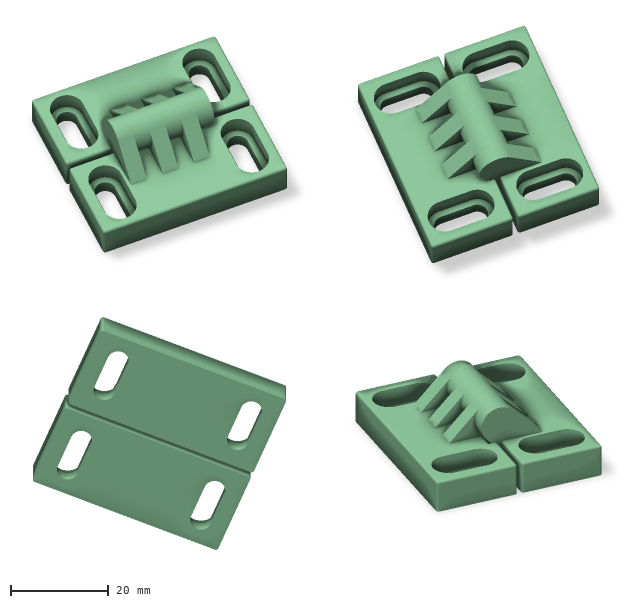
import cadquery as cq
import math

plate_length = 41.0
plate_width = 17.95
plate_thickness = 7.0
plate_gap = 1.05
edge_radius = 0.55

hinge_length = 21.0
knuckles_per_leaf = 3
knuckle_width = hinge_length / (2 * knuckles_per_leaf)
knuckle_radius = 4.0
axis_height = 11.0
arm_foot_x = 9.75
arm_root_height = 5.0
pin_diameter = 4.0

relief_rim_x = 2.62

slot_straight = 7.18
slot_width = 4.4
counterbore_width = 7.0
counterbore_depth = 4.0
slot_offset_x = 9.75
slot_spacing_y = 29.5

inner_face_x = plate_gap / 2


def cylinder_along_y(diameter, start_y, length):
    """Cylinder on the hinge axis, from start_y towards +Y."""
    return (
        cq.Workplane("XZ", origin=(0, start_y, axis_height))
        .circle(diameter / 2)
        .extrude(-length)
    )


def make_pin():
    """Hinge pin, flush with both ends of the barrel."""
    return cylinder_along_y(pin_diameter, -hinge_length / 2, hinge_length)


def make_plate():
    """Plate on the +X side, rounded on its upright and top edges."""
    return (
        cq.Workplane("XY", origin=(inner_face_x + plate_width / 2, 0, 0))
        .box(plate_width, plate_length, plate_thickness, centered=(True, True, False))
        .edges("|Z or >Z")
        .fillet(edge_radius)
    )


def make_slots():
    """Cutters for the two stepped slots, one near each end of the plate."""
    centers = [(slot_offset_x, side * slot_spacing_y / 2) for side in (-1, 1)]
    through_slots = (
        cq.Workplane("XY")
        .pushPoints(centers)
        .slot2D(slot_straight + slot_width, slot_width)
        .extrude(plate_thickness)
    )
    counterbores = (
        cq.Workplane("XY", origin=(0, 0, plate_thickness - counterbore_depth))
        .pushPoints(centers)
        .slot2D(slot_straight + counterbore_width, counterbore_width)
        .extrude(counterbore_depth)
    )
    return through_slots.union(counterbores)


def make_knuckle(start_y):
    """Round eye on an arm that runs down at about 45 degrees into the +X plate."""
    tangent_offset = knuckle_radius / math.sqrt(2)
    arm = (
        cq.Workplane("XZ", origin=(0, start_y, 0))
        .moveTo(tangent_offset, axis_height + tangent_offset)
        .lineTo(arm_foot_x, plate_thickness)
        .lineTo(arm_foot_x, arm_root_height)
        .lineTo(inner_face_x, arm_root_height)
        .lineTo(-tangent_offset, axis_height - tangent_offset)
        .close()
        .extrude(-knuckle_width)
    )
    return arm.union(cylinder_along_y(2 * knuckle_radius, start_y, knuckle_width))


def make_relief(start_y):
    """45 degree cut in the inner edge of the +X plate that clears one opposing knuckle."""
    relief_depth = relief_rim_x - inner_face_x
    return (
        cq.Workplane("XZ", origin=(0, start_y, 0))
        .moveTo(inner_face_x, plate_thickness)
        .lineTo(relief_rim_x, plate_thickness)
        .lineTo(inner_face_x, plate_thickness - relief_depth)
        .close()
        .extrude(-knuckle_width)
    )


def make_leaf():
    """Hinge leaf on the +X side, its knuckles alternating with reliefs along the barrel."""
    leaf = make_plate().cut(make_slots())
    for index in range(knuckles_per_leaf):
        knuckle_start_y = -hinge_length / 2 + 2 * index * knuckle_width
        leaf = leaf.cut(make_relief(knuckle_start_y + knuckle_width))
        leaf = leaf.union(make_knuckle(knuckle_start_y))
    pin_hole = make_pin()
    return leaf.cut(pin_hole).solids()


leaves = [make_leaf().rotate((0, 0, 0), (0, 0, 1), angle) for angle in (0, 180)]
pin = make_pin()

result = cq.Compound.makeCompound([*(leaf.val() for leaf in leaves), pin.val()])